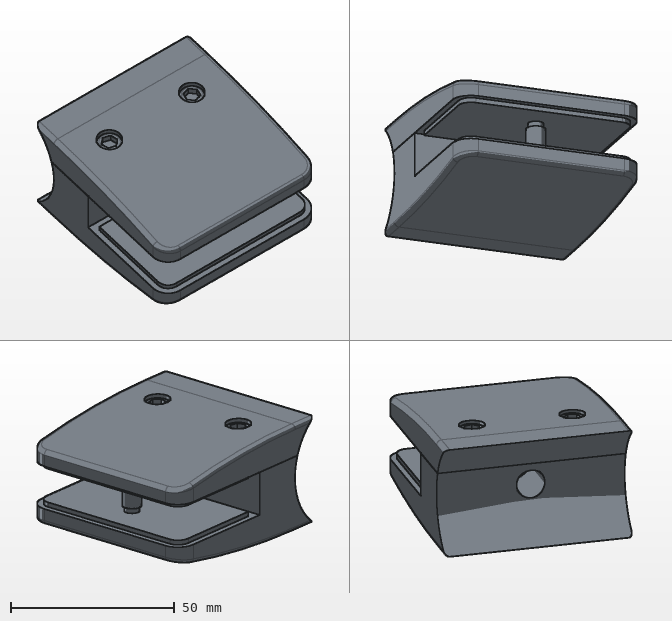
import cadquery as cq
import math

length = 55.0
width = 60.0
half_height = 17.5
end_half_height = 12.0
end_corner_radius = 6.0
edge_fillet = 1.5

tube_radius = 21.2
saddle_tip_x = tube_radius - math.sqrt(tube_radius**2 - half_height**2)
saddle_overrun = 3.0

taper_drop = half_height - end_half_height
taper_radius = (length**2 + taper_drop**2) / (2 * taper_drop)

slot_half_height = 7.0
slot_floor_x = 17.0

bore_diameter = 9.0

pad_thickness = 1.5
pad_start_x = 20.0
pad_margin = 2.0
pad_end_x = length - pad_margin
pad_width = width - 2 * pad_margin
pad_corner_radius = end_corner_radius - pad_margin

pin_x = 42.0
pin_diameter = 6.0
pin_middle_length = 7.5
pin_end_diameter = 4.8
pin_length = 2 * (slot_half_height - pad_thickness)

screw_x = 10.0
screw_half_spacing = 16.0
screw_pair_y = -0.25
head_diameter = 8.0
head_height = 4.0
head_top_z = 16.35
head_fillet = 0.7
shank_diameter = 4.0
shank_tip_z = -5.0
hex_across_flats = 4.6
hex_depth = 2.0
hex_angle = 16.0
screw_sides = (-1, 1)


def make_outer_body():
    """Full clamp envelope with rounded edges and the tube saddle cut away."""
    start_x = -saddle_tip_x - saddle_overrun
    mid_x = length / 2
    mid_z = half_height - taper_radius + math.sqrt(taper_radius**2 - mid_x**2)
    body = (
        cq.Workplane("XZ")
        .moveTo(start_x, -half_height)
        .lineTo(0, -half_height)
        .threePointArc((mid_x, -mid_z), (length, -end_half_height))
        .lineTo(length, end_half_height)
        .threePointArc((mid_x, mid_z), (0, half_height))
        .lineTo(start_x, half_height)
        .close()
        .extrude(width / 2, both=True)
    )
    body = body.edges("|Z and >X").fillet(end_corner_radius)
    for end in (">Z", "<Z"):
        body = body.faces(end).edges("|X and >Y").fillet(edge_fillet)
    tube = (
        cq.Workplane("XZ")
        .center(-tube_radius, 0)
        .circle(tube_radius)
        .extrude(width, both=True)
    )
    return body.cut(tube)


def make_slab(start_x, bottom_z, top_z):
    """Box wider than the clamp that runs from start_x past the glass end."""
    return cq.Workplane("XY").box(
        2 * length, 2 * width, top_z - bottom_z, centered=(False, True, False)
    ).translate((start_x, 0, bottom_z))


def screw_y(side):
    """Y position of the screw on the given side, -1 or 1."""
    return screw_pair_y + side * screw_half_spacing


def make_screw_blank(y):
    """Screw without its hex socket."""
    head_bottom_z = head_top_z - head_height
    head = (
        cq.Workplane("XY", origin=(screw_x, y, head_bottom_z))
        .circle(head_diameter / 2)
        .extrude(head_height)
        .faces(">Z")
        .edges()
        .fillet(head_fillet)
    )
    shank = (
        cq.Workplane("XY", origin=(screw_x, y, shank_tip_z))
        .circle(shank_diameter / 2)
        .extrude(head_bottom_z - shank_tip_z)
    )
    return head.union(shank)


def make_screw(y, angle):
    """Cap screw with its hex socket turned by the given angle."""
    socket = (
        cq.Workplane("XY", origin=(screw_x, y, head_top_z - hex_depth))
        .transformed(rotate=(0, 0, angle))
        .polygon(6, hex_across_flats, circumscribed=True)
        .extrude(hex_depth)
    )
    return make_screw_blank(y).cut(socket)


def make_screw_holes():
    """Counterbored holes that fit both screws and open through the cover."""
    head_bottom_z = head_top_z - head_height
    places = [(screw_x, screw_y(side)) for side in screw_sides]
    counterbores = (
        cq.Workplane("XY", origin=(0, 0, head_bottom_z))
        .pushPoints(places)
        .circle(head_diameter / 2)
        .extrude(half_height - head_bottom_z)
    )
    shank_holes = (
        cq.Workplane("XY", origin=(0, 0, shank_tip_z))
        .pushPoints(places)
        .circle(shank_diameter / 2)
        .extrude(head_bottom_z - shank_tip_z)
    )
    return counterbores.union(shank_holes)


def make_cover(outer_body, screw_holes):
    """Upper jaw, above the joint plane."""
    above_joint = make_slab(-length, slot_half_height, 2 * half_height)
    return outer_body.intersect(above_joint).cut(screw_holes)


def make_base(outer_body, screw_holes):
    """Lower jaw with the back wall that carries the saddle bore."""
    above_joint = make_slab(-length, slot_half_height, 2 * half_height)
    slot = make_slab(slot_floor_x, -slot_half_height, slot_half_height)
    bore = cq.Workplane("YZ").circle(bore_diameter / 2).extrude(slot_floor_x, both=True)
    return outer_body.cut(above_joint).cut(slot).cut(bore).cut(screw_holes)


def make_pad(bottom_z):
    """Flat pad lying against a jaw, rounded at the glass end."""
    pad_length = pad_end_x - pad_start_x
    return (
        cq.Workplane("XY", origin=(pad_start_x, 0, bottom_z))
        .box(pad_length, pad_width, pad_thickness, centered=(False, True, False))
        .edges("|Z and >X")
        .fillet(pad_corner_radius)
    )


def make_pin_section(diameter, section_length):
    """Upright cylinder centred on the middle of the slot."""
    bottom = cq.Workplane("XY", origin=(pin_x, 0, -section_length / 2))
    return bottom.circle(diameter / 2).extrude(section_length)


def make_pin():
    """Upright pin with a thicker middle."""
    core = make_pin_section(pin_end_diameter, pin_length)
    return core.union(make_pin_section(pin_diameter, pin_middle_length))


outer_body = make_outer_body()
screw_holes = make_screw_holes()

base = make_base(outer_body, screw_holes)
cover = make_cover(outer_body, screw_holes)
pads = [make_pad(z) for z in (-slot_half_height, slot_half_height - pad_thickness)]
pin = make_pin()
screws = [make_screw(screw_y(side), side * hex_angle) for side in screw_sides]

result = cq.Compound.makeCompound(
    [
        base.val(),
        cover.val(),
        *[pad.val() for pad in pads],
        pin.val(),
        *[screw.val() for screw in screws],
    ]
)